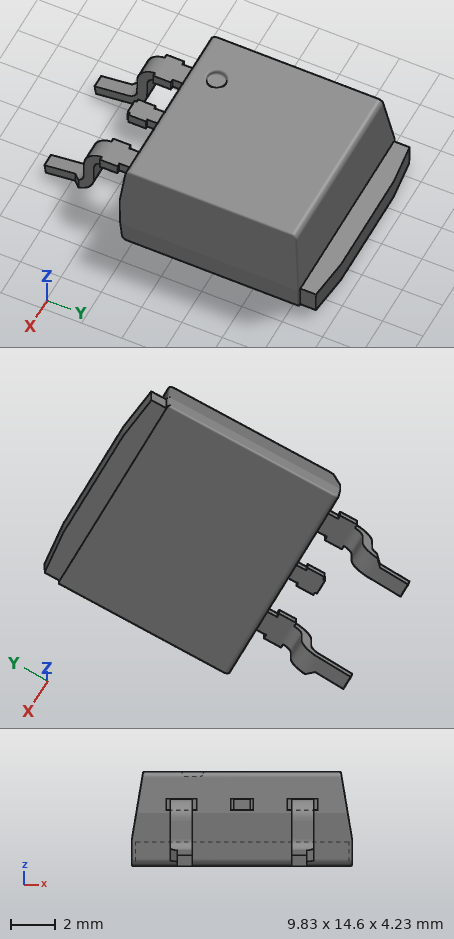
import cadquery as cq
import math

TILT = 0.45

HOUSING_WIDTH = 9.83
HOUSING_LENGTH = 9.02
HOUSING_HEIGHT = 4.15
SKIRT_HEIGHT = 1.1
SIDE_INSET = 0.51
REAR_INSET = 0.4
FRONT_RIDGE_HEIGHT = 2.29
FRONT_TOP_INSET = 0.16
FRONT_BOTTOM_INSET = 0.25
END_EDGE_RADIUS = 0.29
SIDE_EDGE_RADIUS = 0.1

DIMPLE_X = -2.2
DIMPLE_Y = -7.56
DIMPLE_RADIUS = 0.45
DIMPLE_RIM_RADIUS = 0.1
DIMPLE_FLOOR_RADIUS = 0.09

TAB_WIDTH = 9.49
TAB_LENGTH = 1.01
TAB_CORNER_WIDTH = 2.07
TAB_CORNER_LENGTH = 0.23

LEAD_THICKNESS = 0.5
LEAD_BOTTOM = 2.42
LEAD_TOP = LEAD_BOTTOM + LEAD_THICKNESS
ROOT_OVERLAP = 1.0
LEAD_ROOT = ROOT_OVERLAP - HOUSING_LENGTH
LEAD_REACH = 5.84
LEAD_OFFSET = 2.7
LEAD_WIDTH = 1.0
SHOULDER_WIDTH = 1.36
NECK_LENGTH = 0.72
SHOULDER_LENGTH = 0.88
BEND_LEAD_IN = 0.12
SHOULDER_START = -HOUSING_LENGTH - NECK_LENGTH
SHOULDER_END = SHOULDER_START - SHOULDER_LENGTH
BEND_START = SHOULDER_END + BEND_LEAD_IN
BEND_INNER_RADIUS = 0.5
BEND_OUTER_RADIUS = BEND_INNER_RADIUS + LEAD_THICKNESS
LEG_LENGTH = 0.8
FOOT_ANGLE = 8.5
FOOT_LENGTH = 1.7
FOOT_WIDTH = 0.67
BEND_TO_TAPER = 1.24
FOOT_TAPER_START = BEND_START - BEND_TO_TAPER

STUB_NECK_WIDTH = 0.73
STUB_WIDTH = 1.0
STUB_NOSE_LENGTH = 0.1
STUB_END = SHOULDER_END - STUB_NOSE_LENGTH


def make_dimple_cutter():
    """Round recess whose wall is a rounded rim running straight into a rounded floor edge."""
    rim = DIMPLE_RIM_RADIUS
    floor = DIMPLE_FLOOR_RADIUS
    quarter = math.sqrt(0.5)
    rim_mid = (DIMPLE_RADIUS + rim * (1 - quarter), -rim * (1 - quarter))
    floor_mid = (DIMPLE_RADIUS - floor * (1 - quarter), -rim - floor * quarter)
    profile = (
        cq.Workplane("XZ")
        .lineTo(DIMPLE_RADIUS + rim, 0)
        .threePointArc(rim_mid, (DIMPLE_RADIUS, -rim))
        .threePointArc(floor_mid, (DIMPLE_RADIUS - floor, -rim - floor))
        .lineTo(0, -rim - floor)
        .close()
    )
    cutter = profile.revolve(360, (0, 0, 0), (0, 1, 0))
    return cutter.translate((DIMPLE_X, DIMPLE_Y, HOUSING_HEIGHT))


def make_housing():
    lengthwise = (
        cq.Workplane("YZ")
        .polyline([
            (0, 0),
            (0, SKIRT_HEIGHT),
            (-REAR_INSET, HOUSING_HEIGHT),
            (FRONT_TOP_INSET - HOUSING_LENGTH, HOUSING_HEIGHT),
            (-HOUSING_LENGTH, FRONT_RIDGE_HEIGHT),
            (FRONT_BOTTOM_INSET - HOUSING_LENGTH, 0),
        ])
        .close()
        .extrude(HOUSING_WIDTH / 2, both=True)
        .edges("|X and (>Z or (<Z exc >Y))")
        .fillet(END_EDGE_RADIUS)
    )

    half_width = HOUSING_WIDTH / 2
    crosswise = (
        cq.Workplane("XZ")
        .polyline([
            (-half_width, 0),
            (-half_width, SKIRT_HEIGHT),
            (SIDE_INSET - half_width, HOUSING_HEIGHT),
            (half_width - SIDE_INSET, HOUSING_HEIGHT),
            (half_width, SKIRT_HEIGHT),
            (half_width, 0),
        ])
        .close()
        .extrude(HOUSING_LENGTH)
    )
    body = lengthwise.intersect(crosswise)

    outline = "(not |X) exc (|Y exc (>Z or <Z))"
    rounded = body.edges(outline).fillet(SIDE_EDGE_RADIUS).val().fix()
    return cq.Workplane(rounded).cut(make_dimple_cutter())


def make_tab():
    """Flat plate against the rear wall, its rear edge slanting away toward both corners."""
    half_width = TAB_WIDTH / 2
    rear_half_width = half_width - TAB_CORNER_WIDTH
    return (
        cq.Workplane("XY")
        .polyline([
            (-half_width, 0),
            (-half_width, TAB_LENGTH - TAB_CORNER_LENGTH),
            (-rear_half_width, TAB_LENGTH),
            (rear_half_width, TAB_LENGTH),
            (half_width, TAB_LENGTH - TAB_CORNER_LENGTH),
            (half_width, 0),
        ])
        .close()
        .extrude(SKIRT_HEIGHT)
    )


def make_bent_strip():
    """Gull-wing strip, as wide as its shoulders, from inside the housing to the foot's tip."""
    foot_angle = math.radians(FOOT_ANGLE)
    down_foot = (-math.cos(foot_angle), -math.sin(foot_angle))
    across_foot = (math.sin(foot_angle), -math.cos(foot_angle))
    half_turn = (math.pi / 2 - foot_angle) / 2

    upper_center = (BEND_START, LEAD_BOTTOM - BEND_INNER_RADIUS)
    leg_outside = BEND_START - BEND_OUTER_RADIUS
    leg_inside = BEND_START - BEND_INNER_RADIUS
    leg_top = upper_center[1]
    leg_bottom = leg_top - LEG_LENGTH
    lower_center = (leg_outside - BEND_INNER_RADIUS, leg_bottom)

    def on_upper_bend(radius):
        quarter = radius * math.sqrt(0.5)
        return (upper_center[0] - quarter, upper_center[1] + quarter)

    def on_lower_bend(radius, turn):
        return (
            lower_center[0] + radius * math.cos(turn),
            lower_center[1] - radius * math.sin(turn),
        )

    foot_top = on_lower_bend(BEND_INNER_RADIUS, 2 * half_turn)
    tip_top = (foot_top[0] + FOOT_LENGTH * down_foot[0], foot_top[1] + FOOT_LENGTH * down_foot[1])
    tip_bottom = (
        tip_top[0] + LEAD_THICKNESS * across_foot[0],
        tip_top[1] + LEAD_THICKNESS * across_foot[1],
    )
    return (
        cq.Workplane("YZ")
        .moveTo(LEAD_ROOT, LEAD_TOP)
        .lineTo(BEND_START, LEAD_TOP)
        .threePointArc(on_upper_bend(BEND_OUTER_RADIUS), (leg_outside, leg_top))
        .lineTo(leg_outside, leg_bottom)
        .threePointArc(on_lower_bend(BEND_INNER_RADIUS, half_turn), foot_top)
        .lineTo(*tip_top)
        .lineTo(*tip_bottom)
        .lineTo(*on_lower_bend(BEND_OUTER_RADIUS, 2 * half_turn))
        .threePointArc(on_lower_bend(BEND_OUTER_RADIUS, half_turn), (leg_inside, leg_bottom))
        .lineTo(leg_inside, leg_top)
        .threePointArc(on_upper_bend(BEND_INNER_RADIUS), (BEND_START, LEAD_BOTTOM))
        .lineTo(LEAD_ROOT, LEAD_BOTTOM)
        .close()
        .extrude(SHOULDER_WIDTH / 2, both=True)
    )


def make_outer_lead(side, housing):
    """Bent lead at x = side * LEAD_OFFSET; its foot is narrowed on the outward face."""
    inner = -LEAD_WIDTH / 2
    outer = LEAD_WIDTH / 2
    foot_outer = inner + FOOT_WIDTH
    taper = outer - foot_outer
    plan_points = [
        (inner, LEAD_ROOT),
        (inner, SHOULDER_START),
        (-SHOULDER_WIDTH / 2, SHOULDER_START),
        (-SHOULDER_WIDTH / 2, SHOULDER_END),
        (inner, SHOULDER_END),
        (inner, -HOUSING_LENGTH - LEAD_REACH),
        (foot_outer, -HOUSING_LENGTH - LEAD_REACH),
        (foot_outer, FOOT_TAPER_START - taper),
        (outer, FOOT_TAPER_START),
        (outer, SHOULDER_END),
        (SHOULDER_WIDTH / 2, SHOULDER_END),
        (SHOULDER_WIDTH / 2, SHOULDER_START),
        (outer, SHOULDER_START),
        (outer, LEAD_ROOT),
    ]
    plan = (
        cq.Workplane("XY")
        .polyline([(side * x, y) for x, y in plan_points])
        .close()
        .extrude(HOUSING_HEIGHT, both=True)
    )
    lead = make_bent_strip().intersect(plan)
    return lead.translate((side * LEAD_OFFSET, 0, 0)).cut(housing)


def make_stub_bar(width, front, rear):
    bar = cq.Workplane("XY").box(width, rear - front, LEAD_THICKNESS, centered=(True, False, False))
    return bar.translate((0, front, LEAD_BOTTOM))


def make_center_lead(housing):
    """Straight lead cut off just past its shoulders."""
    neck = make_stub_bar(STUB_NECK_WIDTH, STUB_END, LEAD_ROOT)
    shoulders = make_stub_bar(STUB_WIDTH, SHOULDER_END, SHOULDER_START)
    return neck.union(shoulders).cut(housing)


def tilted(body):
    return body.rotate((0, 0, 0), (1, 0, 0), -TILT)


housing = make_housing()
tab = make_tab()
center_lead = make_center_lead(housing)
outer_leads = [make_outer_lead(side, housing) for side in (-1, 1)]

result = cq.Compound.makeCompound([
    tilted(housing).val(),
    tilted(tab).val(),
    tilted(center_lead).val(),
    *[tilted(lead).val() for lead in outer_leads],
])